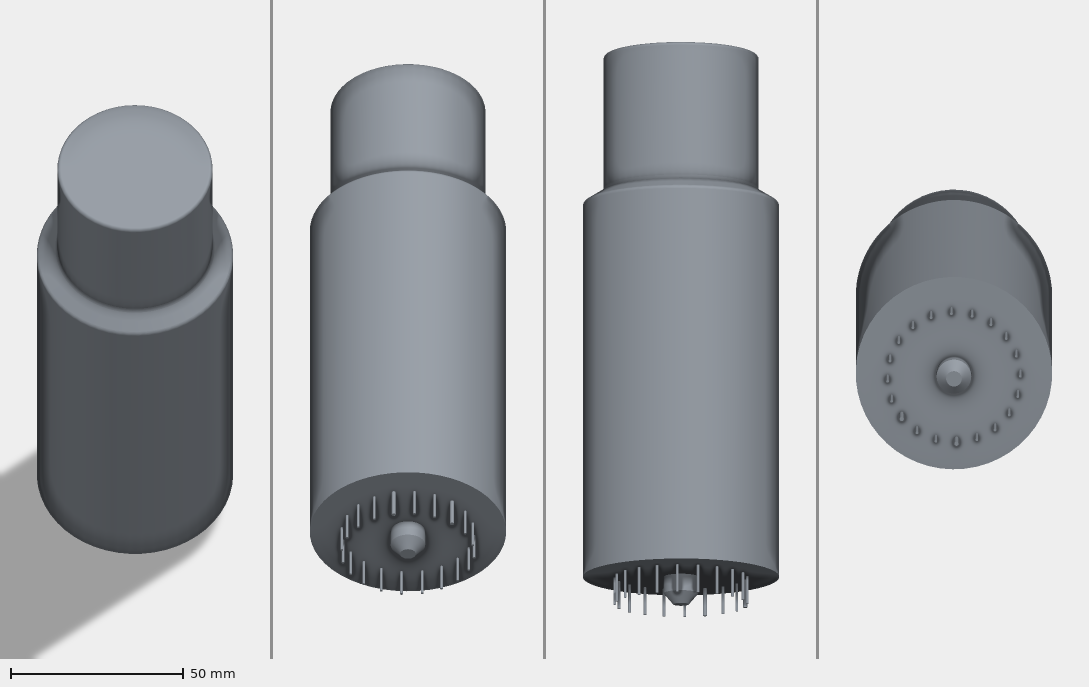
import cadquery as cq
import math

total_height = 162.0
pin_length = 8.1
shoulder_height = 3.7
neck_height = 40.0
body_diameter = 57.0
neck_diameter = 45.0
top_fillet = 1.0
shoulder_fillet = 1.3

key_diameter = 10.0
key_tip_diameter = 4.5
key_taper_height = 3.2

pin_count = 20
pin_circle_radius = 19.3
pin_diameter = 0.8
marker_pin_diameter = 1.2
marker_pin_indices = (12, 15)

body_radius = body_diameter / 2
neck_radius = neck_diameter / 2
key_radius = key_diameter / 2
key_tip_radius = key_tip_diameter / 2
neck_base_height = total_height - neck_height
shoulder_base_height = neck_base_height - shoulder_height


def make_tube():
    """Body, conical shoulder and neck, with softened edges."""
    tube = (
        cq.Workplane("XZ")
        .moveTo(0, pin_length)
        .lineTo(body_radius, pin_length)
        .lineTo(body_radius, shoulder_base_height)
        .lineTo(neck_radius, neck_base_height)
        .lineTo(neck_radius, total_height)
        .lineTo(0, total_height)
        .close()
        .revolve(360, (0, 0, 0), (0, 1, 0))
    )
    tube = tube.faces(">Z").edges().fillet(top_fillet)
    shoulder_edges = tube.faces("%CONE").edges("%CIRCLE")
    return shoulder_edges.fillet(shoulder_fillet)


def make_key():
    """Cylinder that tapers to a smaller flat tip."""
    return (
        cq.Workplane("XZ")
        .lineTo(key_tip_radius, 0)
        .lineTo(key_radius, key_taper_height)
        .lineTo(key_radius, pin_length)
        .lineTo(0, pin_length)
        .close()
        .revolve(360, (0, 0, 0), (0, 1, 0))
    )


def make_pin(index):
    """One contact pin, placed by its position around the ring."""
    angle = 2 * math.pi * index / pin_count
    x = pin_circle_radius * math.cos(angle)
    y = pin_circle_radius * math.sin(angle)
    diameter = marker_pin_diameter if index in marker_pin_indices else pin_diameter
    return cq.Workplane("XY").center(x, y).circle(diameter / 2).extrude(pin_length)


result = make_tube().union(make_key())
for pin_index in range(pin_count):
    result = result.union(make_pin(pin_index))